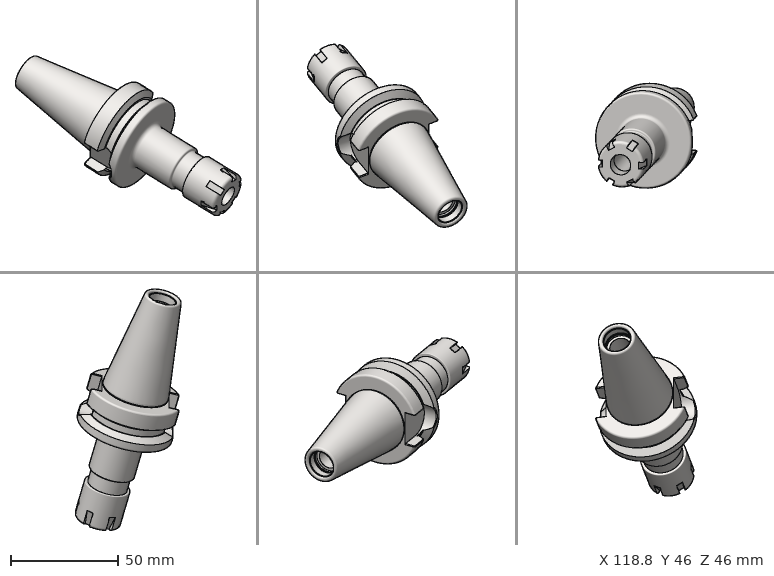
import cadquery as cq
import math


OVERALL_LENGTH = 118.8
TAPER_LENGTH = 48.7
RELIEF_GROOVE_START = 49.7
FLANGE_START = 50.1
FRONT_RIM_END = 58.2
REAR_RIM_START = 65.9
FLANGE_END = 70.3
SHAFT_END = 92.9
NUT_START = 100.3
SPIGOT_END = 110.8

TAPER_RADIUS = 31.7 / 2
TAPER_SLOPE = 3.5 / 24
FLANGE_RADIUS = 46.0 / 2
RELIEF_GROOVE_RADIUS = 31.5 / 2
GROOVE_RADIUS = 18.9
SHAFT_RADIUS = 22.0 / 2
SPIGOT_RADIUS = 19.0 / 2
NUT_RADIUS = SHAFT_RADIUS

END_ROUND = 1.1
MOUTH_ROUND = 1.0
RIM_ROUND = 1.01
SHAFT_ROOT = 2.0
SHAFT_ROUND = 0.7
SPIGOT_ROOT = 0.5
NUT_BACK_ROUND = 0.4
NUT_FRONT_ROUND = 1.4

GROOVE_FLANK_ANGLE = 30.0
FRONT_FLANK_RUN = 1.8
REAR_FLANK_RUN = 2.1

DRIVE_SLOT_WIDTH = 16.3
DRIVE_SLOT_FLOOR = 16.2
DRIVE_SLOT_END = 67.6
DRIVE_SLOT_CHAMFER = 0.42

MOUTH_RADIUS = 13.3 / 2
PILOT_RADIUS = 12.6 / 2
THROUGH_RADIUS = 9.7 / 2
MOUTH_DEPTH = 1.2
PILOT_START = 1.4
BORE_RELIEF_RADIUS = 13.1 / 2
BORE_RELIEF_START = 5.2
BORE_RELIEF_END = 6.0
PILOT_DEPTH = 7.2

WRENCH_SLOT_COUNT = 6
WRENCH_SLOT_WIDTH = 3.2
WRENCH_SLOT_START = 111.2
WRENCH_FLOOR_START = 10.8
WRENCH_FLOOR_END = 8.5


def turned(points):
    """Revolve a closed (x, radius) outline about the X axis."""
    return cq.Workplane("XY").polyline(points).close().revolve(360, (0, 0, 0), (1, 0, 0))


def circle_edge(body, x, radius):
    """Select the circular edge that lies at the given station and radius."""
    margin = 0.01
    reach = radius + margin
    inner = radius - margin
    reach_box = cq.selectors.BoxSelector((x - margin, -reach, -reach), (x + margin, reach, reach), boundingbox=True)
    inner_box = cq.selectors.BoxSelector((x - margin, -inner, -inner), (x + margin, inner, inner), boundingbox=True)
    return body.edges(reach_box - inner_box)


def flank_foot_radius(run):
    """Radius reached by a groove flank after the given axial run."""
    return FLANGE_RADIUS - run / math.tan(math.radians(GROOVE_FLANK_ANGLE))


def holder_blank():
    """Taper, grooved flange, shaft and spigot with the stepped bore."""
    small_end_radius = TAPER_RADIUS - TAPER_SLOPE * TAPER_LENGTH
    front_floor_edge = FRONT_RIM_END + FRONT_FLANK_RUN
    rear_floor_edge = REAR_RIM_START - REAR_FLANK_RUN
    blank = turned([
        (0, MOUTH_RADIUS),
        (0, small_end_radius),
        (TAPER_LENGTH, TAPER_RADIUS),
        (RELIEF_GROOVE_START, TAPER_RADIUS),
        (RELIEF_GROOVE_START, RELIEF_GROOVE_RADIUS),
        (FLANGE_START, RELIEF_GROOVE_RADIUS),
        (FLANGE_START, FLANGE_RADIUS),
        (FRONT_RIM_END, FLANGE_RADIUS),
        (front_floor_edge, flank_foot_radius(FRONT_FLANK_RUN)),
        (front_floor_edge, GROOVE_RADIUS),
        (rear_floor_edge, GROOVE_RADIUS),
        (rear_floor_edge, flank_foot_radius(REAR_FLANK_RUN)),
        (REAR_RIM_START, FLANGE_RADIUS),
        (FLANGE_END, FLANGE_RADIUS),
        (FLANGE_END, SHAFT_RADIUS),
        (SHAFT_END, SHAFT_RADIUS),
        (SHAFT_END, SPIGOT_RADIUS),
        (SPIGOT_END, SPIGOT_RADIUS),
        (SPIGOT_END, THROUGH_RADIUS),
        (PILOT_DEPTH, THROUGH_RADIUS),
        (PILOT_DEPTH, PILOT_RADIUS),
        (BORE_RELIEF_END, PILOT_RADIUS),
        (BORE_RELIEF_END, BORE_RELIEF_RADIUS),
        (BORE_RELIEF_START, BORE_RELIEF_RADIUS),
        (BORE_RELIEF_START, PILOT_RADIUS),
        (PILOT_START, PILOT_RADIUS),
        (MOUTH_DEPTH, MOUTH_RADIUS),
    ])
    blank = circle_edge(blank, 0, small_end_radius).fillet(END_ROUND)
    blank = circle_edge(blank, 0, MOUTH_RADIUS).fillet(MOUTH_ROUND)
    blank = circle_edge(blank, FLANGE_START, FLANGE_RADIUS).fillet(RIM_ROUND)
    blank = circle_edge(blank, FLANGE_END, FLANGE_RADIUS).fillet(RIM_ROUND)
    blank = circle_edge(blank, FLANGE_END, SHAFT_RADIUS).fillet(SHAFT_ROOT)
    blank = circle_edge(blank, SHAFT_END, SPIGOT_RADIUS).fillet(SPIGOT_ROOT)
    return circle_edge(blank, SHAFT_END, SHAFT_RADIUS).fillet(SHAFT_ROUND)


def drive_slot(side):
    """Cutter for a round-ended slot; side is -1 for the -Y slot and +1 for the +Y slot."""
    half_width = DRIVE_SLOT_WIDTH / 2
    arc_start = DRIVE_SLOT_END - half_width
    cutter = (
        cq.Workplane("XZ")
        .moveTo(TAPER_LENGTH, -half_width)
        .lineTo(arc_start, -half_width)
        .threePointArc((DRIVE_SLOT_END, 0), (arc_start, half_width))
        .lineTo(TAPER_LENGTH, half_width)
        .close()
        .extrude(FLANGE_RADIUS)
        .translate((0, -DRIVE_SLOT_FLOOR, 0))
    )
    return cutter if side < 0 else cutter.mirror("XZ")


class DriveSlotRims(cq.Selector):
    """Edges where the drive slot walls meet the front face and the rims of the flange."""

    def filter(self, edges):
        half_width = DRIVE_SLOT_WIDTH / 2
        rims = []
        for edge in edges:
            middle = edge.positionAt(0.5)
            outside_floor = abs(middle.y) > DRIVE_SLOT_FLOOR + 0.1
            on_front_rim = FLANGE_START <= middle.x < FRONT_RIM_END - 0.1 and abs(abs(middle.z) - half_width) < 0.01
            on_rear_rim = REAR_RIM_START < middle.x < DRIVE_SLOT_END + 0.1 and abs(middle.z) < half_width - 0.1
            if outside_floor and (on_front_rim or on_rear_rim):
                rims.append(edge)
        return rims


def make_holder():
    holder = holder_blank()
    for side in (-1, 1):
        holder = holder.cut(drive_slot(side))
    return holder.edges(DriveSlotRims()).chamfer(DRIVE_SLOT_CHAMFER)


def wrench_slot():
    """Cutter for the -Y wrench slot, whose floor slopes inward toward the nut's end."""
    outside = NUT_RADIUS + 1.2
    return (
        cq.Workplane("XY")
        .polyline([
            (WRENCH_SLOT_START, -outside),
            (WRENCH_SLOT_START, -WRENCH_FLOOR_START),
            (OVERALL_LENGTH, -WRENCH_FLOOR_END),
            (OVERALL_LENGTH, -outside),
        ])
        .close()
        .extrude(WRENCH_SLOT_WIDTH / 2, both=True)
    )


def make_nut():
    nut = turned([
        (NUT_START, SPIGOT_RADIUS),
        (NUT_START, NUT_RADIUS),
        (OVERALL_LENGTH, NUT_RADIUS),
        (OVERALL_LENGTH, THROUGH_RADIUS),
        (SPIGOT_END, THROUGH_RADIUS),
        (SPIGOT_END, SPIGOT_RADIUS),
    ])
    nut = circle_edge(nut, OVERALL_LENGTH, NUT_RADIUS).fillet(NUT_FRONT_ROUND)
    nut = circle_edge(nut, NUT_START, NUT_RADIUS).fillet(NUT_BACK_ROUND)
    for index in range(WRENCH_SLOT_COUNT):
        angle = index * 360 / WRENCH_SLOT_COUNT
        nut = nut.cut(wrench_slot().rotate((0, 0, 0), (1, 0, 0), angle))
    return nut


holder = make_holder()
nut = make_nut()

result = cq.Compound.makeCompound([holder.val(), nut.val()])